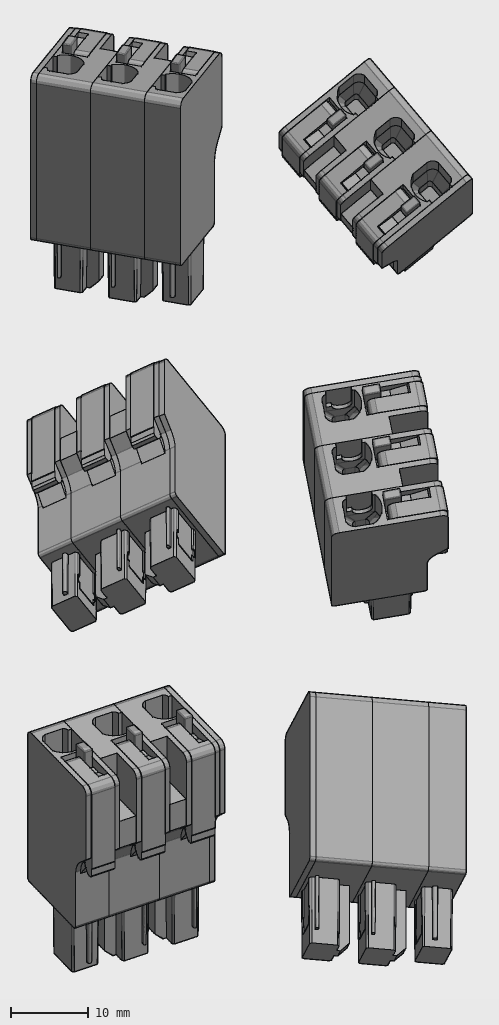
import cadquery as cq
import math

pole_count = 3
cover_width = 0.8
pole_pitch = 7.5
latch_zone_width = 5.0
overall_height = 35.0

body_bottom = 9.35
body_top = 33.53
base_back = 15.3
latch_zone_back = 15.4
foot_back = 12.65
top_radius = 1.0
bottom_radius = 0.5
slant_top = 22.33
slant_end = (13.7, 20.8)
step_arc_middle = (13.0, 19.8)
step_arc_bottom = 18.55

cutaway_front = 10.3
cutaway_floor = 26.6

latch_left = 0.75
latch_right = 4.25
slot_right = 4.27
latch_front = 7.88
latch_back = 15.5
latch_thickness = 2.65
latch_leg_front = 13.7
slot_front = 7.5
slot_floor = body_top - latch_thickness
hook_shoulder = 20.55
hook_back = 15.4
hook_round_start = 19.42
hook_bottom = 19.1
hook_tip_back = 15.15
hook_tip_front = 14.52
hook_nose = (13.93, 19.8)
hook_throat = 20.48
ledge_bottom = 18.1

pocket_width = 1.4
pocket_floor = 32.13
ramp_start = 11.13
ramp_end = 13.4
ramp_top = 32.9
pocket_back = 13.6

button_left = 0.8
button_width = 1.25
button_back = 9.75
button_middle_height = 34.95
button_front_height = 34.85
button_rounding = 0.15

wire_left = 0.52
wire_right = 4.5
wire_front = 2.15
mouth_center_x = 2.17
mouth_center_y = 4.55
mouth_radius = 2.6
mouth_left_front = 2.85
mouth_right_front = 3.25
mouth_front_left = 1.0
mouth_front_right = 3.57
mouth_left_corner = (0.65, 2.38)
mouth_right_corner = (4.15, 2.5)
mouth_back_left = 0.9
mouth_back_right = 3.35
wire_neck_left = 0.75
wire_neck_right = 3.6
wire_neck_front = 3.45
wire_neck_back = 5.67
wire_neck_corner = 0.45
funnel_top = 28.0
funnel_bottom = 26.25
wire_floor = 22.75
notch_front = 2.8
notch_back = 6.2
trough_front = 3.55
trough_radius = (notch_back - trough_front) / 2
notch_floor = funnel_top + trough_radius

plug_left = 0.4
plug_width = 3.92
plug_depth = 5.18
plug_center_y = 8.0
plug_chamfer = 0.25
plug_draft = 0.4
first_plug_bottom = 0.0
last_plug_bottom = 0.9
rib_bottom = 1.95
rib_reach = 0.6
first_rib_x = 1.25
first_rib_width = 0.4
last_rib_x = 1.95
last_rib_width = 0.6
web_right = 6.02
web_thickness = 1.75
web_chamfer = 1.22
window_depth = 0.1
window_wall_slope = 45.0
window_width = 3.35
window_bottom = 3.15
window_ear_width = 4.05
window_ear_bottom = 4.25
window_ear_top = 5.4


def block(x0, x1, y0, y1, z0, z1):
    """Box between two corners."""
    return cq.Workplane("XY").box(x1 - x0, y1 - y0, z1 - z0, centered=False).translate((x0, y0, z0))


def side_plate(x0, x1, back):
    """Body profile in the YZ plane, stepped in at its lower back, from x0 to x1."""
    plate = (
        cq.Workplane("YZ", origin=(x0, 0, 0))
        .moveTo(0, body_bottom)
        .lineTo(0, body_top)
        .lineTo(back, body_top)
        .lineTo(back, slant_top)
        .lineTo(*slant_end)
        .threePointArc(step_arc_middle, (foot_back, step_arc_bottom))
        .lineTo(foot_back, body_bottom)
        .close()
        .extrude(x1 - x0)
    )
    plate = plate.edges("|X and >Z").fillet(top_radius)
    return plate.edges("|X and <Z").fillet(bottom_radius)


def latch_blank(x0, x1):
    """L-shaped bar: a leg along the top and a leg down the back that ends in a hook."""
    return (
        cq.Workplane("YZ", origin=(x0, 0, 0))
        .moveTo(latch_front, slot_floor)
        .lineTo(latch_front, body_top)
        .lineTo(latch_back, body_top)
        .lineTo(latch_back, hook_shoulder)
        .lineTo(hook_back, hook_shoulder)
        .lineTo(hook_back, hook_round_start)
        .lineTo(hook_tip_back, hook_bottom)
        .lineTo(hook_tip_front, hook_bottom)
        .lineTo(*hook_nose)
        .lineTo(latch_leg_front, hook_throat)
        .lineTo(latch_leg_front, slot_floor)
        .close()
        .extrude(x1 - x0)
    )


def latch(pole_x):
    """Latch bar with a ramped pocket in its top and a corner cleared for the button."""
    x0 = pole_x + latch_left
    body = latch_blank(x0, pole_x + latch_right)
    body = body.edges("|X and >Z").fillet(top_radius)
    button_seat = block(x0, x0 + pocket_width, slot_front, button_back, slot_floor, body_top)
    ramp_pocket = (
        cq.Workplane("YZ", origin=(x0, 0, 0))
        .moveTo(button_back, body_top)
        .lineTo(button_back, pocket_floor)
        .lineTo(ramp_start, pocket_floor)
        .lineTo(ramp_end, ramp_top)
        .lineTo(pocket_back, body_top)
        .close()
        .extrude(pocket_width)
    )
    return body.cut(button_seat).cut(ramp_pocket)


def button(pole_x):
    """Push button standing on the slot floor, with a top that falls away gently to the front."""
    button_middle = (slot_front + button_back) / 2
    body = (
        cq.Workplane("YZ", origin=(pole_x + button_left, 0, 0))
        .moveTo(slot_front, slot_floor)
        .lineTo(button_back, slot_floor)
        .lineTo(button_back, overall_height)
        .threePointArc((button_middle, button_middle_height), (slot_front, button_front_height))
        .close()
        .extrude(button_width)
    )
    return body.edges("not <Z").fillet(button_rounding)


def latch_slot(pole_x):
    """Room for the latch and the button, open to the top and the back."""
    x0 = pole_x + latch_left
    x1 = pole_x + slot_right
    top_leg = block(x0, x1, slot_front, latch_back, slot_floor, body_top)
    back_leg = block(x0, x1, latch_leg_front, latch_back, body_bottom, slot_floor)
    return top_leg.union(back_leg)


def hook_ledge(pole_x):
    """Wedge of the housing that the latch hook rests against."""
    return (
        cq.Workplane("YZ", origin=(pole_x + latch_left, 0, 0))
        .moveTo(foot_back, ledge_bottom)
        .lineTo(*hook_nose)
        .lineTo(latch_leg_front, hook_throat)
        .lineTo(foot_back, hook_throat)
        .close()
        .extrude(slot_right - latch_left)
    )


def on_mouth_circle(x):
    """Point on the back half of the wire opening's main circle."""
    return x, mouth_center_y + math.sqrt(mouth_radius**2 - (x - mouth_center_x) ** 2)


def mouth_arc(x0, x1):
    """Middle and end points of a stretch of the main circle."""
    return on_mouth_circle((x0 + x1) / 2), on_mouth_circle(x1)


def wire_mouth(pole_x, z):
    """Rounded outline of the wire opening: a large arc at the back and smaller corners at the front.

    The large arc is split in three so that each stretch leads to one side or corner of the neck.
    """
    return (
        cq.Workplane("XY", origin=(pole_x, 0, z))
        .moveTo(wire_left, mouth_left_front)
        .lineTo(*on_mouth_circle(wire_left))
        .threePointArc(*mouth_arc(wire_left, mouth_back_left))
        .threePointArc(*mouth_arc(mouth_back_left, mouth_back_right))
        .threePointArc(*mouth_arc(mouth_back_right, wire_right))
        .lineTo(wire_right, mouth_right_front)
        .threePointArc(mouth_right_corner, (mouth_front_right, wire_front))
        .lineTo(mouth_front_left, wire_front)
        .threePointArc(mouth_left_corner, (wire_left, mouth_left_front))
        .close()
    )


def wire_neck(pole_x, z):
    """Rounded rectangle at the lower end of the funnel, begun at the same corner as the mouth."""
    left, right, front, back = wire_neck_left, wire_neck_right, wire_neck_front, wire_neck_back
    r = wire_neck_corner
    inset = r * (1 - math.sqrt(0.5))
    return (
        cq.Workplane("XY", origin=(pole_x, 0, z))
        .moveTo(left, front + r)
        .lineTo(left, back - r)
        .threePointArc((left + inset, back - inset), (left + r, back))
        .lineTo(right - r, back)
        .threePointArc((right - inset, back - inset), (right, back - r))
        .lineTo(right, front + r)
        .threePointArc((right - inset, front + inset), (right - r, front))
        .lineTo(left + r, front)
        .threePointArc((left + inset, front + inset), (left, front + r))
        .close()
    )


def wire_hole(pole_x):
    """Wire opening that narrows through a funnel into a rounded rectangular neck."""
    mouth = wire_mouth(pole_x, funnel_top).extrude(body_top - funnel_top)
    mouth_wire = wire_mouth(pole_x, funnel_top).val()
    neck_wire = wire_neck(pole_x, funnel_bottom).val()
    funnel = cq.Workplane(cq.Solid.makeLoft([neck_wire, mouth_wire], True))
    neck = wire_neck(pole_x, wire_floor).extrude(funnel_bottom - wire_floor)
    return mouth.union(funnel).union(neck)


def side_notch(pole_x):
    """Notch from the wire opening through the pole's left wall, with a rounded trough in its floor."""
    x1 = pole_x + wire_left
    notch = block(pole_x, x1, notch_front, notch_back, notch_floor, body_top)
    trough = (
        cq.Workplane("YZ", origin=(pole_x, 0, 0))
        .center((trough_front + notch_back) / 2, notch_floor)
        .circle(trough_radius)
        .extrude(x1 - pole_x)
    )
    return notch.union(trough)


def plug_rib(x, y_direction, width):
    """Upright rib with a rounded nose on the front or the back face of a plug."""
    nose_y = plug_center_y + y_direction * (plug_depth / 2 + rib_reach - width / 2)
    return (
        cq.Workplane("XY", origin=(x, 0, rib_bottom))
        .moveTo(-width / 2, plug_center_y)
        .lineTo(-width / 2, nose_y)
        .threePointArc((0, nose_y + y_direction * width / 2), (width / 2, nose_y))
        .lineTo(width / 2, plug_center_y)
        .close()
        .extrude(body_bottom - rib_bottom, taper=-plug_draft)
    )


def plug_window(x0):
    """Shallow recess with sloping walls and two side ears on the left face of a plug."""
    window_reach = 2 * window_depth
    half = window_width / 2
    half_ears = window_ear_width / 2
    right_side = [
        (half, window_bottom),
        (half, window_ear_bottom),
        (half_ears, window_ear_bottom),
        (half_ears, window_ear_top),
        (half, window_ear_top),
        (half, body_bottom),
    ]
    left_side = [(-y, z) for y, z in reversed(right_side)]
    return (
        cq.Workplane("YZ", origin=(x0 + window_depth, plug_center_y, 0))
        .polyline(right_side + left_side)
        .close()
        .extrude(-window_reach, taper=-window_wall_slope)
    )


def plug(pole_x, bottom, rib_x, rib_width, has_web):
    """Drafted plug with a rib on its front and back, and on request a keying web on its right."""
    x0 = pole_x + plug_left
    body = (
        cq.Workplane("XY", origin=(x0 + plug_width / 2, plug_center_y, bottom))
        .sketch()
        .rect(plug_width, plug_depth)
        .vertices()
        .chamfer(plug_chamfer)
        .finalize()
        .extrude(body_bottom - bottom, taper=-plug_draft)
    )
    if has_web:
        half = web_thickness / 2
        web = block(x0 + plug_width / 2, pole_x + web_right,
                    plug_center_y - half, plug_center_y + half, bottom, body_bottom)
        body = body.union(web.edges("|Y and >X and <Z").chamfer(web_chamfer))
    for y_direction in (-1, 1):
        body = body.union(plug_rib(pole_x + rib_x, y_direction, rib_width))
    return body.cut(plug_window(x0))


def housing(pole_x, is_last):
    """One pole's housing with its plug; all but the last have a spacer up to the next pole."""
    zone_right = pole_x + latch_zone_width
    body = side_plate(pole_x, zone_right, latch_zone_back)
    if not is_last:
        right = pole_x + pole_pitch
        spacer = side_plate(zone_right, right, base_back)
        body = body.union(spacer)
        body = body.cut(block(zone_right, right, cutaway_front, latch_back, cutaway_floor, body_top))
    body = body.cut(latch_slot(pole_x)).union(hook_ledge(pole_x))
    body = body.cut(wire_hole(pole_x)).cut(side_notch(pole_x))
    if is_last:
        pole_plug = plug(pole_x, last_plug_bottom, last_rib_x, last_rib_width, False)
    else:
        pole_plug = plug(pole_x, first_plug_bottom, first_rib_x, first_rib_width, True)
    return body.union(pole_plug)


cover = side_plate(0, cover_width, base_back)
poles = [cover_width + i * pole_pitch for i in range(pole_count)]
housings = [housing(x, x == poles[-1]).val() for x in poles]
latches = [latch(x).val() for x in poles]
buttons = [button(x).val() for x in poles]

result = cq.Compound.makeCompound([cover.val(), *housings, *latches, *buttons])